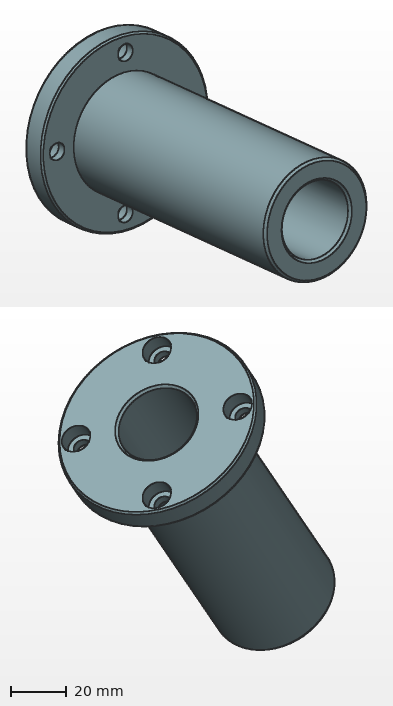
import cadquery as cq

total_length = 123.0
flange_diameter = 76.0
flange_thickness = 10.0
body_diameter = 47.0
bore_diameter = 30.0
flange_chamfer = 0.7
body_chamfer = 1.0
bore_chamfer = 1.0

screw_count = 4
bolt_circle_diameter = 62.0
screw_hole_diameter = 6.6
counterbore_diameter = 11.0
counterbore_depth = 6.5


def cylinder_along_x(diameter, length):
    """Cylinder starting at the flange face, X = 0."""
    return cq.Workplane("YZ").circle(diameter / 2).extrude(length)


flange = cylinder_along_x(flange_diameter, flange_thickness).edges().chamfer(flange_chamfer)

body = cylinder_along_x(body_diameter, total_length).faces(">X").edges().chamfer(body_chamfer)

bore = cylinder_along_x(bore_diameter, total_length)
mouth_radius = bore_diameter / 2 + bore_chamfer
mouth_cone = cq.Solid.makeCone(
    mouth_radius, bore_diameter / 2, bore_chamfer, cq.Vector(0, 0, 0), cq.Vector(1, 0, 0)
)
far_mouth_cone = mouth_cone.mirror("YZ", cq.Vector(total_length / 2, 0, 0))

bushing = flange.union(body).cut(bore).cut(cq.Workplane(mouth_cone)).cut(cq.Workplane(far_mouth_cone))

screw_holes = (
    cq.Workplane("YZ")
    .polarArray(bolt_circle_diameter / 2, 0, 360, screw_count)
    .circle(screw_hole_diameter / 2)
    .extrude(flange_thickness)
)
counterbores = (
    cq.Workplane("YZ")
    .polarArray(bolt_circle_diameter / 2, 0, 360, screw_count)
    .circle(counterbore_diameter / 2)
    .extrude(counterbore_depth)
)

result = bushing.cut(screw_holes).cut(counterbores)